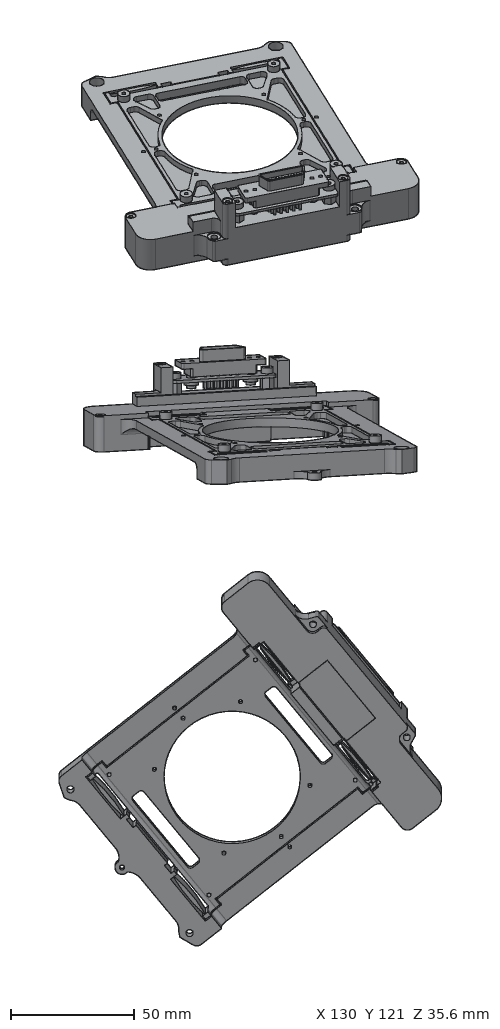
import cadquery as cq
import math

SIDES = (-1, 1)

FOOT_BOTTOM = 3.0
ARM_BOTTOM = 9.4
FRAME_TOP = 13.0
BLOCK_TOP = 15.0
BOSS_TOP = 15.9

FRAME_LEFT = -54.2
FRAME_HALF_WIDTH = 45.0
FRAME_CORNER_RADIUS = 3.0
FOOT_END = -41.7
UNDERSIDE_FILLET = 2.6
EAR_HOLE_X = -53.0
EAR_HOLE_Y = 38.4
EAR_HOLE_DIAMETER = 2.9
EAR_BORE_DIAMETER = 6.0
EAR_BORE_DEPTH = 3.9
TAB_TOP = 6.0
TAB_TIP = -60.0
TAB_RADIUS = 2.9
TAB_HOLE_DIAMETER = 2.0
TAB_ROOT_HALF_WIDTH = 7.7

BLOCK_LEFT = 41.6
BLOCK_RIGHT = 63.2
BLOCK_HALF_WIDTH = 60.52
BLOCK_FRONT_RADIUS = 3.2
BLOCK_REAR_RADIUS = 6.2
ARM_FILLET = 5.0
COVER_EDGE = 44.7
COVER_HALF_WIDTH = 38.4
COVER_CLEARANCE = 0.3
RECESS_WALL = 46.8
RECESS_HALF_WIDTH = 37.6
RELIEF_HALF_WIDTH = 15.5
RELIEF_DEPTH = 0.4
SCREW_X = 44.0
SCREW_Y = 58.0
SCREW_BORE_DIAMETER = 4.0
SCREW_BORE_DEPTH = 0.5
SOCKET_SIZE = 1.5
SOCKET_DEPTH = 1.3

GAP = 0.5
STAGE_EDGE_X = 41.0
STAGE_EDGE_Y = 35.0
APERTURE_DIAMETER = 55.0
CORNER_TAB_TOP = 38.0
CORNER_TAB_INNER_X = 37.0
SLOT_OUTER_X = 45.0
SLOT_TOP = 36.1
SLOT_BOTTOM = 16.1
SLOT_CORNER_RADIUS = 1.0
LEAF_X = 43.3
LEAF_END_WIDTH = 0.4
LEAF_MIDDLE_WIDTH = 2.0
RELIEF_HOLE_WIDTH = 1.8
RELIEF_HOLE_BOTTOM = 10.1
ANCHOR_BOTTOM = 14.3
ANCHOR_INNER_X = 42.0
HIDDEN_STAGE_EDGE = 46.0
BOSS_X = 38.0
BOSS_Y = 32.1
BOSS_DIAMETER = 5.0
SMALL_HOLE_DIAMETER = 1.5
POCKET_DEPTH = 2.6
WINDOW_X = 34.5
WINDOW_WIDTH = 5.8
WINDOW_LENGTH = 38.2
WINDOW_RADIUS = 1.5

REAR_FACE = 70.0
RIDGE_LEFT = 57.0
RIDGE_TOP = 18.7
RAIL_LEFT = 58.8
RAIL_TOP = 19.6
RAIL_HALF_WIDTH = 38.1
FLOOR_TOP = 17.7
POST_TOP = 29.9
POST_INNER_Y = 22.2
POST_OUTER_Y = 27.3
POST_CORNER_RADIUS = 1.8
POST_SCREW_X = 67.3
LUG_HOLE_X = 66.3
LUG_HOLE_Y = 30.2
LUG_HOLE_DIAMETER = 2.7
LUG_BORE_DIAMETER = 5.5
LUG_BORE_DEPTH = 0.5
LUG_CORNER_RADIUS = 1.0
LUG_END_Y = 31.6
WALL_FILLET = 3.0

BOARD_LEFT = 59.0
BOARD_HALF_WIDTH = 22.0
BOARD_BOTTOM = 23.0
BOARD_TOP = 24.2
BOARD_RADIUS = 1.3
STANDOFF_X = 64.5
STANDOFF_Y = 19.6
STANDOFF_FLATS = 5.0
BOARD_SCREW_DIAMETER = 5.0
BOARD_SCREW_TOP = 26.5
FLANGE_LEFT = 59.9
FLANGE_RIGHT = 69.7
FLANGE_HALF_WIDTH = 18.0
FLANGE_BOTTOM = 28.5
FLANGE_TOP = 30.8
FLANGE_RADIUS = 0.8
BODY_HALF_WIDTH = 14.2
BODY_BOTTOM = 25.1
BODY_CHAMFER = 0.8
FLANGE_HOLE_PLACES = (12.2, 16.0)
STUD_Y = 12.6
STUD_DIAMETER = 3.8
STUD_BOTTOM = 19.8
NUT_DIAMETER = 6.0
NUT_BOTTOM = 21.2
SHELL_LEFT = 61.6
SHELL_RIGHT = 68.0
SHELL_LONG_HALF = 10.3
SHELL_SHORT_HALF = 7.4
SHELL_TOP = 35.6
SHELL_RADIUS = 1.0
SHELL_WALL = 0.6
SHELL_DEPTH = 2.6
CONTACT_DIAMETER = 0.8
CONTACT_PITCH = 1.3
CONTACT_ROWS = ((63.6, 13), (65.4, 12))
CONTACT_DEPTH = 1.3
PIN_DIAMETER = 1.0
PIN_BOTTOM = 18.8
PIN_STEP = 0.68
PIN_COUNT = 21
PIN_ROW_X = (64.0, 65.3, 66.5, 67.9)


def block_between(x0, x1, y0, y1, z0, z1):
    """Box between opposite corners."""
    return cq.Workplane("XY").box(x1 - x0, y1 - y0, z1 - z0, centered=False).translate((x0, y0, z0))


def disc(x, y, diameter, z0, z1):
    """Upright cylinder."""
    return cq.Workplane("XY", origin=(x, y, z0)).circle(diameter / 2).extrude(z1 - z0)


def hexagon(x, y, flats, z0, z1):
    """Upright hexagonal prism with corners on the X axis."""
    return cq.Workplane("XY", origin=(x, y, z0)).polygon(6, flats / math.cos(math.pi / 6)).extrude(z1 - z0)


def mirrored_y(shape):
    """The shape together with its mirror image across Y = 0."""
    return shape.add(shape.mirror("XZ")).combine()


def four_quarters(shape):
    """The shape repeated in all four plan quadrants."""
    half = shape.add(shape.mirror("XZ")).combine()
    return half.add(half.mirror("YZ")).combine()


def frame_profile(half_width):
    """Side profile of foot and plate, blended underneath into the foot and the block."""
    outline = (
        cq.Workplane("XZ", origin=(0, half_width, 0))
        .moveTo(FRAME_LEFT, FOOT_BOTTOM)
        .lineTo(FOOT_END, FOOT_BOTTOM)
        .lineTo(FOOT_END, ARM_BOTTOM - UNDERSIDE_FILLET)
        .radiusArc((FOOT_END + UNDERSIDE_FILLET, ARM_BOTTOM), UNDERSIDE_FILLET)
        .lineTo(BLOCK_LEFT - UNDERSIDE_FILLET, ARM_BOTTOM)
        .radiusArc((BLOCK_LEFT, ARM_BOTTOM - UNDERSIDE_FILLET), UNDERSIDE_FILLET)
        .lineTo(BLOCK_LEFT + 1.3, ARM_BOTTOM - UNDERSIDE_FILLET)
        .lineTo(BLOCK_LEFT + 1.3, FRAME_TOP)
        .lineTo(FRAME_LEFT, FRAME_TOP)
        .close()
    )
    return outline.extrude(2 * half_width)


def frame_plate():
    """Thick left foot and thinner plate, with flared mounting ears on the left."""
    plate = frame_profile(FRAME_HALF_WIDTH)
    ear = (
        cq.Workplane("XY", origin=(0, 0, FOOT_BOTTOM))
        .moveTo(-49.4, FRAME_HALF_WIDTH)
        .lineTo(-54.3, FRAME_HALF_WIDTH)
        .lineTo(-57.2, 37.2)
        .lineTo(-56.0, 35.0)
        .threePointArc((-54.7, 33.2), (FRAME_LEFT, 30.7))
        .lineTo(-49.4, 30.7)
        .close()
        .extrude(FRAME_TOP - FOOT_BOTTOM)
    )
    ear = ear.edges(cq.selectors.NearestToPointSelector((-54.3, FRAME_HALF_WIDTH, 7.8))).fillet(FRAME_CORNER_RADIUS)
    ear = ear.edges(cq.selectors.NearestToPointSelector((-57.2, 37.2, 7.8))).fillet(0.6)
    corner = block_between(FRAME_LEFT - 1.3, -49.4, EAR_HOLE_Y, FRAME_HALF_WIDTH + 1.3, 0, FRAME_TOP)
    plate = plate.cut(mirrored_y(corner)).union(mirrored_y(ear))
    for side in SIDES:
        y = side * EAR_HOLE_Y
        plate = plate.cut(disc(EAR_HOLE_X, y, EAR_HOLE_DIAMETER, 0, FRAME_TOP))
        plate = plate.cut(disc(EAR_HOLE_X, y, EAR_BORE_DIAMETER, FRAME_TOP - EAR_BORE_DEPTH, FRAME_TOP))
    return plate.union(left_tab())


def left_tab():
    """Low flared tab with a small hole, midway along the left edge."""
    centre_x = TAB_TIP + TAB_RADIUS
    flank_x = centre_x + 0.5
    flank_y = math.sqrt(TAB_RADIUS**2 - 0.5**2)
    middle = ((flank_x + FRAME_LEFT) / 2 + 0.3, (flank_y + TAB_ROOT_HALF_WIDTH) / 2 - 0.6)
    tab = (
        cq.Workplane("XY", origin=(0, 0, FOOT_BOTTOM))
        .moveTo(FRAME_LEFT + 1.3, TAB_ROOT_HALF_WIDTH)
        .lineTo(FRAME_LEFT, TAB_ROOT_HALF_WIDTH)
        .threePointArc(middle, (flank_x, flank_y))
        .threePointArc((TAB_TIP, 0), (flank_x, -flank_y))
        .threePointArc((middle[0], -middle[1]), (FRAME_LEFT, -TAB_ROOT_HALF_WIDTH))
        .lineTo(FRAME_LEFT + 1.3, -TAB_ROOT_HALF_WIDTH)
        .close()
        .extrude(TAB_TOP - FOOT_BOTTOM)
    )
    return tab.cut(disc(centre_x, 0, TAB_HOLE_DIAMETER, FOOT_BOTTOM, TAB_TOP))


def rear_block():
    """Tall cross block, its concave blends to the frame and the recess that clears the stage."""
    block = block_between(BLOCK_LEFT, BLOCK_RIGHT, -BLOCK_HALF_WIDTH, BLOCK_HALF_WIDTH, 0, BLOCK_TOP)
    block = block.edges("|Z and <X").fillet(BLOCK_FRONT_RADIUS)
    block = block.edges("|Z and >X").fillet(BLOCK_REAR_RADIUS)
    blend = (
        cq.Workplane("XY")
        .moveTo(BLOCK_LEFT - ARM_FILLET, FRAME_HALF_WIDTH)
        .radiusArc((BLOCK_LEFT, FRAME_HALF_WIDTH + ARM_FILLET), -ARM_FILLET)
        .lineTo(BLOCK_LEFT + 1.3, FRAME_HALF_WIDTH + ARM_FILLET)
        .lineTo(BLOCK_LEFT + 1.3, FRAME_HALF_WIDTH - 1.3)
        .lineTo(BLOCK_LEFT - ARM_FILLET, FRAME_HALF_WIDTH - 1.3)
        .close()
        .extrude(FRAME_TOP)
    )
    blend = blend.intersect(frame_profile(BLOCK_HALF_WIDTH))
    block = block.union(mirrored_y(blend))
    width = COVER_HALF_WIDTH
    block = block.cut(block_between(BLOCK_LEFT, COVER_EDGE, -width, width, FRAME_TOP, BLOCK_TOP))
    recess = block_between(BLOCK_LEFT, RECESS_WALL, ANCHOR_BOTTOM, RECESS_HALF_WIDTH, 0, ARM_BOTTOM)
    block = block.cut(mirrored_y(recess))
    relief = RELIEF_HALF_WIDTH
    block = block.cut(block_between(BLOCK_LEFT, BLOCK_RIGHT, -relief, relief, 0, RELIEF_DEPTH))
    for side in SIDES:
        block = block.cut(screw_recess(SCREW_X, side * SCREW_Y, BLOCK_TOP))
    return block


def screw_recess(x, y, top):
    """Shallow bore holding a sunk screw head with a hexagon socket."""
    floor = top - SCREW_BORE_DEPTH
    bore = disc(x, y, SCREW_BORE_DIAMETER, floor, top)
    return bore.union(hexagon(x, y, SOCKET_SIZE, floor - SOCKET_DEPTH, floor))


def flexure_cuts():
    """Slots and narrow gaps that free the stage, leaving four leaves that carry it."""
    top = FRAME_TOP

    def through(x0, x1, y0, y1):
        return block_between(x0, x1, y0, y1, 0, top)

    slot = through(STAGE_EDGE_X, SLOT_OUTER_X, SLOT_BOTTOM, SLOT_TOP)
    slot = slot.edges("|Z and <X and >Y").fillet(SLOT_CORNER_RADIUS)
    half_height = (SLOT_TOP - SLOT_BOTTOM) / 2
    middle_y = SLOT_BOTTOM + half_height
    inner_end = LEAF_X - LEAF_END_WIDTH / 2
    outer_end = LEAF_X + LEAF_END_WIDTH / 2
    leaf = (
        cq.Workplane("XY")
        .moveTo(inner_end, SLOT_BOTTOM)
        .threePointArc((LEAF_X - LEAF_MIDDLE_WIDTH / 2, middle_y), (inner_end, SLOT_TOP))
        .lineTo(outer_end, SLOT_TOP)
        .threePointArc((LEAF_X + LEAF_MIDDLE_WIDTH / 2, middle_y), (outer_end, SLOT_BOTTOM))
        .close()
        .extrude(top)
    )
    quarter = slot.cut(leaf)
    outer = SLOT_OUTER_X
    quarter = quarter.union(through(outer - GAP, outer, SLOT_TOP, CORNER_TAB_TOP + GAP))
    quarter = quarter.union(through(CORNER_TAB_INNER_X - GAP, outer, CORNER_TAB_TOP, CORNER_TAB_TOP + GAP))
    quarter = quarter.union(through(CORNER_TAB_INNER_X - GAP, CORNER_TAB_INNER_X, STAGE_EDGE_Y, CORNER_TAB_TOP))
    quarter = quarter.union(through(0, CORNER_TAB_INNER_X, STAGE_EDGE_Y, STAGE_EDGE_Y + GAP))
    cuts = four_quarters(quarter)

    left_gap = through(-STAGE_EDGE_X - GAP, -STAGE_EDGE_X, -SLOT_BOTTOM, SLOT_BOTTOM)
    hole_right = -STAGE_EDGE_X - GAP
    relief_hole = through(hole_right - RELIEF_HOLE_WIDTH, hole_right, RELIEF_HOLE_BOTTOM, ANCHOR_BOTTOM)
    cuts = cuts.union(left_gap).union(mirrored_y(relief_hole))

    hook = through(STAGE_EDGE_X, ANCHOR_INNER_X, ANCHOR_BOTTOM - GAP, SLOT_BOTTOM)
    hook = hook.edges("|Z and <X and <Y").fillet(SLOT_CORNER_RADIUS / 2)
    edge = HIDDEN_STAGE_EDGE
    hook = hook.union(through(STAGE_EDGE_X + SLOT_CORNER_RADIUS, edge, ANCHOR_BOTTOM - GAP, ANCHOR_BOTTOM))
    right_gap = through(edge, edge + GAP, -ANCHOR_BOTTOM, ANCHOR_BOTTOM)
    under_cover = block_between(
        COVER_EDGE, edge + GAP, -ANCHOR_BOTTOM, ANCHOR_BOTTOM, top, top + COVER_CLEARANCE
    )
    return cuts.union(mirrored_y(hook)).union(right_gap).union(under_cover)


def stage_openings():
    """Aperture, windows, blind pockets and small holes of the stage."""
    floor = FRAME_TOP - POCKET_DEPTH
    openings = disc(0, 0, APERTURE_DIAMETER, 0, FRAME_TOP)
    for side in SIDES:
        window = (
            cq.Workplane("XY", origin=(side * WINDOW_X, 0, 0))
            .rect(WINDOW_WIDTH, WINDOW_LENGTH)
            .extrude(FRAME_TOP)
            .edges("|Z")
            .fillet(WINDOW_RADIUS)
        )
        openings = openings.union(window)
    return openings.union(four_quarters(stage_pockets(floor))).union(small_holes())


def stage_pockets(floor):
    """Long pocket along the stage edge and the short one beside the window, in one quadrant."""
    rim_radius = 29.1
    end_x = 1.5
    tip_x = 18.6
    middle_x = (end_x + tip_x) / 2
    long_pocket = (
        cq.Workplane("XY", origin=(0, 0, floor))
        .moveTo(end_x, 33.5)
        .lineTo(31.5, 33.5)
        .lineTo(31.5, 28.9)
        .lineTo(tip_x, math.sqrt(rim_radius**2 - tip_x**2))
        .threePointArc(
            (middle_x, math.sqrt(rim_radius**2 - middle_x**2)),
            (end_x, math.sqrt(rim_radius**2 - end_x**2)),
        )
        .close()
        .extrude(POCKET_DEPTH)
        .edges("|Z and (<X or >X)")
        .fillet(2.0)
    )
    short_pocket = (
        cq.Workplane("XY", origin=(0, 0, floor))
        .polyline([(38.0, 19.9), (27.2, 19.9), (27.2, 23.8), (38.0, 29.9)])
        .close()
        .extrude(POCKET_DEPTH)
        .edges("|Z")
        .fillet(2.0)
    )
    return long_pocket.add(short_pocket).combine()


def small_holes():
    """Through holes on the stage diagonals and on both sides of the stage gap."""
    places = [(0, 37.0), (0, 31.6), (22.4, 22.4), (-22.4, 22.4)]
    holes = cq.Workplane("XY")
    for x, y in places:
        for side in SIDES:
            holes = holes.add(disc(x, side * y, SMALL_HOLE_DIAMETER, 0, FRAME_TOP))
    return holes.combine()


def stage_bosses(frame):
    """Four raised round pads with through holes."""
    for x in (-BOSS_X, BOSS_X):
        for y in (-BOSS_Y, BOSS_Y):
            frame = frame.union(disc(x, y, BOSS_DIAMETER, FRAME_TOP, BOSS_TOP))
            frame = frame.cut(disc(x, y, SMALL_HOLE_DIAMETER, 0, BOSS_TOP))
    return frame


def connector_mount():
    """Rail, floor, posts and side lugs that hold the connector assembly."""
    overlap = 1.3
    wall = POST_OUTER_Y
    mount = block_between(BLOCK_RIGHT - overlap, REAR_FACE, -wall, wall, 0, FLOOR_TOP)
    mount = mount.edges("|Z and >X").fillet(POST_CORNER_RADIUS)
    rail = RAIL_HALF_WIDTH
    mount = mount.union(block_between(RIDGE_LEFT, RAIL_LEFT, -rail, rail, BLOCK_TOP, RIDGE_TOP))
    mount = mount.union(block_between(RAIL_LEFT, BLOCK_RIGHT, -wall, wall, BLOCK_TOP, FLOOR_TOP))
    side_parts = block_between(RAIL_LEFT, BLOCK_RIGHT, wall, rail, BLOCK_TOP, RAIL_TOP)
    post = block_between(RAIL_LEFT, REAR_FACE, POST_INNER_Y, wall, BLOCK_TOP, POST_TOP)
    post = post.edges("|Z and >X and >Y").fillet(POST_CORNER_RADIUS)
    post = post.cut(screw_recess(POST_SCREW_X, (POST_INNER_Y + wall) / 2, POST_TOP))
    fillet = (
        cq.Workplane("XY")
        .moveTo(BLOCK_RIGHT, wall)
        .lineTo(BLOCK_RIGHT + WALL_FILLET, wall)
        .radiusArc((BLOCK_RIGHT, wall + WALL_FILLET), WALL_FILLET)
        .close()
        .extrude(RAIL_TOP)
    )
    side_parts = side_parts.union(post).union(fillet).union(lug())
    return mount.union(mirrored_y(side_parts))


def lug():
    """Lug in the corner between the block and the post, with a counterbored hole."""
    shape = (
        cq.Workplane("XY", origin=(0, 0, FOOT_BOTTOM))
        .moveTo(BLOCK_RIGHT, POST_OUTER_Y - POST_CORNER_RADIUS)
        .lineTo(BLOCK_RIGHT, 37.7)
        .threePointArc((64.2, 34.8), (66.3, 33.2))
        .lineTo(REAR_FACE, LUG_END_Y)
        .lineTo(REAR_FACE, POST_OUTER_Y - POST_CORNER_RADIUS)
        .close()
        .extrude(FRAME_TOP - FOOT_BOTTOM)
        .edges(cq.selectors.NearestToPointSelector((REAR_FACE, LUG_END_Y, FRAME_TOP / 2)))
        .fillet(LUG_CORNER_RADIUS)
    )
    hole = disc(LUG_HOLE_X, LUG_HOLE_Y, LUG_HOLE_DIAMETER, 0, FRAME_TOP)
    bore = disc(LUG_HOLE_X, LUG_HOLE_Y, LUG_BORE_DIAMETER, FRAME_TOP - LUG_BORE_DEPTH, FRAME_TOP)
    return shape.cut(hole).cut(bore)


def make_housing():
    """Frame, block, flexure stage and connector mount as one solid."""
    housing = frame_plate().union(rear_block())
    housing = housing.cut(flexure_cuts()).cut(stage_openings())
    return stage_bosses(housing).union(connector_mount())


def connector_shell():
    """D-shaped shell with two rows of contact holes in its floor."""
    outline = [
        (SHELL_LEFT, -SHELL_LONG_HALF),
        (SHELL_RIGHT, -SHELL_SHORT_HALF),
        (SHELL_RIGHT, SHELL_SHORT_HALF),
        (SHELL_LEFT, SHELL_LONG_HALF),
    ]
    shell = cq.Workplane("XY", origin=(0, 0, FLANGE_TOP)).polyline(outline).close()
    shell = shell.extrude(SHELL_TOP - FLANGE_TOP).edges("|Z").fillet(SHELL_RADIUS)
    floor = SHELL_TOP - SHELL_DEPTH
    cavity = shell.faces(">Z").wires().toPending().workplane().offset2D(-SHELL_WALL)
    shell = cavity.cutBlind(-SHELL_DEPTH)
    for x, count in CONTACT_ROWS:
        contacts = (
            cq.Workplane("XY", origin=(x, 0, floor))
            .rarray(1.3, CONTACT_PITCH, 1, count)
            .circle(CONTACT_DIAMETER / 2)
            .extrude(-CONTACT_DEPTH)
        )
        shell = shell.cut(contacts)
    return shell


def connector_body():
    """Flanged connector body with the shell on top."""
    width = FLANGE_HALF_WIDTH
    flange = block_between(FLANGE_LEFT, FLANGE_RIGHT, -width, width, FLANGE_BOTTOM, FLANGE_TOP)
    flange = flange.edges("|Z").fillet(FLANGE_RADIUS)
    half = BODY_HALF_WIDTH
    body = block_between(FLANGE_LEFT, FLANGE_RIGHT, -half, half, BODY_BOTTOM, FLANGE_BOTTOM)
    body = flange.union(body.edges("|Z").chamfer(BODY_CHAMFER))
    middle_x = (FLANGE_LEFT + FLANGE_RIGHT) / 2
    for side in SIDES:
        for place in FLANGE_HOLE_PLACES:
            body = body.cut(disc(middle_x, side * place, SMALL_HOLE_DIAMETER, FLANGE_BOTTOM, FLANGE_TOP))
    return body.union(connector_shell())


def connector_pins():
    """Staggered solder pins running from the connector body down through the board."""
    pins = cq.Workplane("XY")
    for index in range(PIN_COUNT):
        x = PIN_ROW_X[index % len(PIN_ROW_X)]
        y = (index - (PIN_COUNT - 1) / 2) * PIN_STEP
        pins = pins.add(disc(x, y, PIN_DIAMETER, PIN_BOTTOM, BODY_BOTTOM))
    return pins.combine()


def make_connector():
    """Board on standoffs, with the connector, its studs and nuts, and the board screws."""
    half = BOARD_HALF_WIDTH
    board = block_between(BOARD_LEFT, REAR_FACE, -half, half, BOARD_BOTTOM, BOARD_TOP)
    connector = board.edges("|Z").fillet(BOARD_RADIUS).union(connector_body()).union(connector_pins())
    for side in SIDES:
        y = side * STANDOFF_Y
        connector = connector.union(hexagon(STANDOFF_X, y, STANDOFF_FLATS, FLOOR_TOP, BOARD_BOTTOM))
        connector = connector.union(disc(STANDOFF_X, y, BOARD_SCREW_DIAMETER, BOARD_TOP, BOARD_SCREW_TOP))
        socket = hexagon(STANDOFF_X, y, SOCKET_SIZE, BOARD_SCREW_TOP - SOCKET_DEPTH, BOARD_SCREW_TOP)
        connector = connector.cut(socket)
        stud_y = side * STUD_Y
        connector = connector.union(disc(STANDOFF_X, stud_y, STUD_DIAMETER, STUD_BOTTOM, BODY_BOTTOM))
        connector = connector.union(disc(STANDOFF_X, stud_y, NUT_DIAMETER, NUT_BOTTOM, BOARD_BOTTOM))
    return connector


housing = make_housing()
connector = make_connector()
result = cq.Compound.makeCompound([housing.val(), connector.val()])